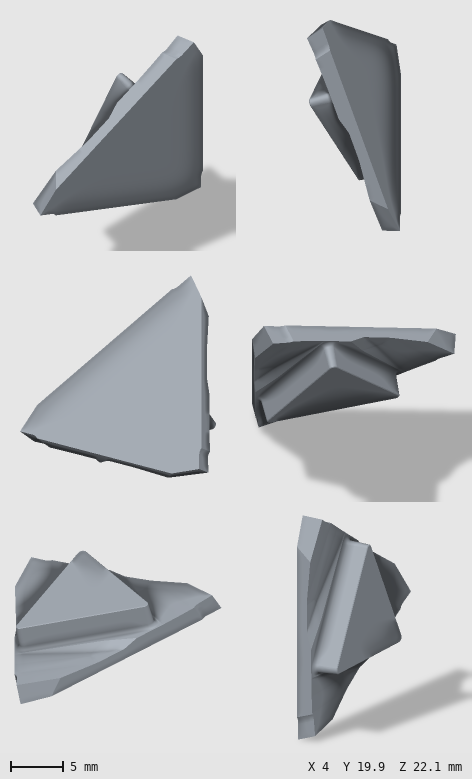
import cadquery as cq
import math

SIDES = 3
SECTOR_ANGLE = 360 / SIDES
WALL_DISTANCE = 7.09
FIRST_WALL_ANGLE = 180
TOTAL_HEIGHT = 4.0
LAND_HEIGHT = 1.55

LEADING_TIP_BACK = (8.5, 0)
LEADING_POINTS = [(7.15, 1.45), (3.25, 1.09), (2.8, 1.06), (0.05, 1.06), (-1.53, LAND_HEIGHT)]
TRAILING_TIP_BACK = (-10.85, 0)
TRAILING_POINTS = [(-10.23, 1.85), (-7.86, 1.66), (-6.27, 1.6), (-4.43, LAND_HEIGHT)]
FLOOR_OUTER_CORNER = (-5.54, 2.97, 1.06)
FLOOR_INNER_CORNER = (-5.07, 2.6, 1.06)
RIDGE_BEND = (-5.05, 1.0, LAND_HEIGHT)

RELIEF_DEPTH = 0.25
RELIEF_END = -8.53
RELIEF_RADIUS = 1.1
RELIEF_LEAN = 2.7 / 8.4
RELIEF_START = -14.4
RELIEF_CUT_HEIGHT = 2.22

BOSS_TOP_INRADIUS = 3.92
BOSS_CORNER_RADIUS = 0.45
BOSS_DRAFT = 3.0
BOSS_TOP_CHAMFER = 0.07
BOSS_ROOT_FILLET = 0.4

GROOVE_FILLET = 0.33


def frame_point(u, v, height):
    return cq.Vector(-height, -u, v)


def wall_point(wall, along, height, distance=WALL_DISTANCE):
    """Point on a wall; walls are numbered clockwise."""
    angle = math.radians(FIRST_WALL_ANGLE - wall * SECTOR_ANGLE)
    u = distance * math.cos(angle) + along * math.sin(angle)
    v = distance * math.sin(angle) - along * math.cos(angle)
    return frame_point(u, v, height)


def turn(point, sector):
    """Turn a (u, v, height) point clockwise by whole sectors."""
    u, v, height = point
    angle = -math.radians(sector * SECTOR_ANGLE)
    return frame_point(
        u * math.cos(angle) - v * math.sin(angle),
        u * math.sin(angle) + v * math.cos(angle),
        height,
    )


def flat_face(points):
    return cq.Face.makeFromWires(cq.Wire.makePolygon(points, close=True))


def ruled_face(start_a, end_a, start_b, end_b):
    edge_a = cq.Edge.makeLine(start_a, end_a)
    edge_b = cq.Edge.makeLine(start_b, end_b)
    return cq.Face.makeRuledSurface(edge_a, edge_b)


def leading_points(sector):
    return [wall_point(sector, *point) for point in LEADING_POINTS]


def trailing_points(sector):
    return [wall_point(sector + 1, *point) for point in TRAILING_POINTS]


def sector_faces(sector):
    """Rake faces, tip facet and outer wall of one cutting corner."""
    lead = leading_points(sector)
    trail = trailing_points(sector)
    lead_back = wall_point(sector, *LEADING_TIP_BACK)
    trail_back = wall_point(sector + 1, *TRAILING_TIP_BACK)
    outer_corner = turn(FLOOR_OUTER_CORNER, sector)
    inner_corner = turn(FLOOR_INNER_CORNER, sector)
    ridge_bend = turn(RIDGE_BEND, sector)

    previous_trail = trailing_points(sector - 1)
    previous_back = wall_point(sector, *TRAILING_TIP_BACK)
    wall_outline = [lead_back] + lead + previous_trail[::-1] + [previous_back]

    return [
        ruled_face(lead_back, trail_back, lead[0], trail[0]),
        ruled_face(lead[0], trail[0], lead[1], trail[1]),
        ruled_face(lead[1], trail[1], outer_corner, trail[2]),
        flat_face([lead[1], lead[2], outer_corner]),
        ruled_face(outer_corner, trail[2], inner_corner, trail[3]),
        ruled_face(lead[2], outer_corner, lead[3], inner_corner),
        ruled_face(lead[3], inner_corner, lead[4], ridge_bend),
        flat_face([inner_corner, trail[3], ridge_bend]),
        flat_face(wall_outline),
    ]


def make_plate():
    """Plate with the chip grooves, before the wall reliefs are cut."""
    faces = []
    back_outline = []
    land_outline = []
    for sector in range(SIDES):
        faces += sector_faces(sector)
        back_outline.append(wall_point(sector, *LEADING_TIP_BACK))
        back_outline.append(wall_point(sector + 1, *TRAILING_TIP_BACK))
        land_outline.append(leading_points(sector)[-1])
        land_outline.append(turn(RIDGE_BEND, sector))
        land_outline.append(trailing_points(sector)[-1])
    faces += [flat_face(back_outline), flat_face(land_outline)]
    shell = cq.Shell.makeShell(faces)
    return cq.Workplane(obj=cq.Solid.makeSolid(shell).fix())


def relief_cutter(wall):
    """Leaning prism with a round run-out that thins the wall near the tip."""
    inner = WALL_DISTANCE - RELIEF_DEPTH
    outer = WALL_DISTANCE + RELIEF_DEPTH
    run_out = math.sqrt(RELIEF_RADIUS**2 - (RELIEF_RADIUS - RELIEF_DEPTH) ** 2)
    arc_start = RELIEF_END - run_out
    half_angle = math.asin(run_out / RELIEF_RADIUS) / 2
    arc_mid_along = arc_start + RELIEF_RADIUS * math.sin(half_angle)
    arc_mid_distance = inner + RELIEF_RADIUS * (1 - math.cos(half_angle))

    start_inner = wall_point(wall, RELIEF_START, 0, inner)
    tangent = wall_point(wall, arc_start, 0, inner)
    arc_mid = wall_point(wall, arc_mid_along, 0, arc_mid_distance)
    arc_end = wall_point(wall, RELIEF_END, 0)
    end_outer = wall_point(wall, RELIEF_END, 0, outer)
    start_outer = wall_point(wall, RELIEF_START, 0, outer)
    outline = cq.Wire.assembleEdges([
        cq.Edge.makeLine(start_inner, tangent),
        cq.Edge.makeThreePointArc(tangent, arc_mid, arc_end),
        cq.Edge.makeLine(arc_end, end_outer),
        cq.Edge.makeLine(end_outer, start_outer),
        cq.Edge.makeLine(start_outer, start_inner),
    ])
    leaned = RELIEF_START + RELIEF_LEAN * RELIEF_CUT_HEIGHT
    sweep = wall_point(wall, leaned, RELIEF_CUT_HEIGHT, inner) - start_inner
    return cq.Solid.extrudeLinear(outline, [], sweep)


def make_boss():
    """Drafted triangle with rounded corners, standing from inside the plate."""
    base_height = LAND_HEIGHT / 2
    boss_height = TOTAL_HEIGHT - base_height
    spread = boss_height * math.tan(math.radians(BOSS_DRAFT))
    arc_centre_inradius = BOSS_TOP_INRADIUS - BOSS_CORNER_RADIUS
    base_plane = cq.Plane(origin=(-base_height, 0, 0), xDir=(0, -1, 0), normal=(-1, 0, 0))
    core_corners = [
        (
            2 * arc_centre_inradius * math.cos(math.radians(90 + i * SECTOR_ANGLE)),
            2 * arc_centre_inradius * math.sin(math.radians(90 + i * SECTOR_ANGLE)),
        )
        for i in range(SIDES)
    ]
    return (
        cq.Workplane(base_plane)
        .polyline(core_corners)
        .close()
        .offset2D(BOSS_CORNER_RADIUS + spread)
        .extrude(boss_height, taper=BOSS_DRAFT)
        .faces("<X")
        .chamfer(BOSS_TOP_CHAMFER)
    )


plate = make_plate()
for wall_number in range(SIDES):
    plate = plate.cut(cq.Workplane(obj=relief_cutter(wall_number)))

joined = plate.union(make_boss())

near_land = cq.selectors.NearestToPointSelector((-LAND_HEIGHT, 0, 0))
land_face = joined.faces("|X").faces(near_land)
root_edges = land_face.val().innerWires()[0].Edges()
filleted = joined.newObject(root_edges).fillet(BOSS_ROOT_FILLET)

groove_edges = []
for corner in range(SIDES):
    foot_middle = (leading_points(corner)[3] + turn(FLOOR_INNER_CORNER, corner)) * 0.5
    near_foot = cq.selectors.NearestToPointSelector(foot_middle.toTuple())
    groove_edges.append(filleted.edges(near_foot).val())
result = filleted.newObject(groove_edges).fillet(GROOVE_FILLET)